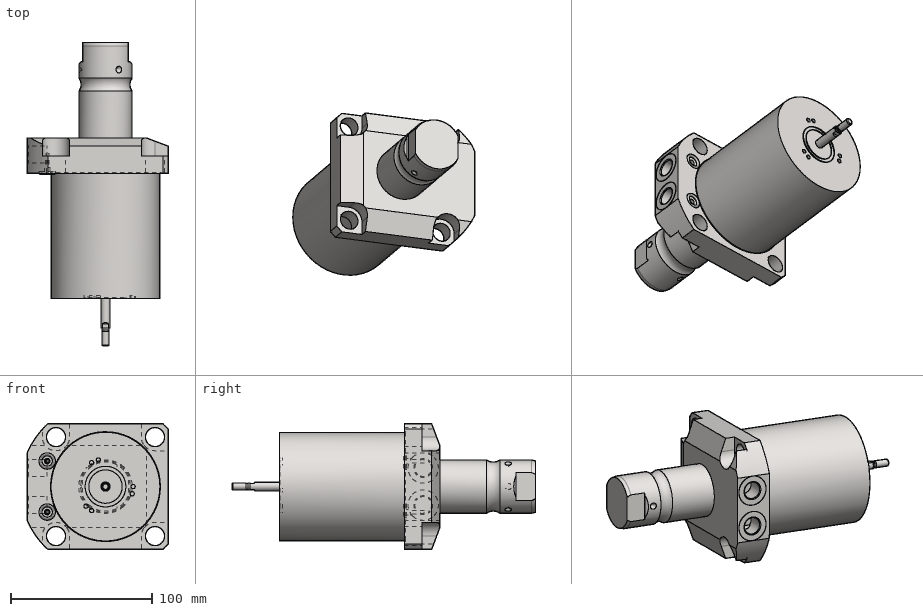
import cadquery as cq
import math


flange_right = 44.5
flange_left = 55.5
flange_half_height = 44.5
flange_thickness = 25.1
flange_corner_radius = 60.4
flange_corner_chamfer = 3.9
bevel_depth = 5.8
bevel_width = 15.5

bolt_offset = 35.0
bolt_hole_radius = 6.7
bolt_seat_radius = 9.7
bolt_seat_y = 12.5

port_z = 13.1
port_y = 13.3
port_radius = 6.0
port_chamfer = 0.6
port_depth = 14.2
spot_face_radius = 10.7
spot_face_depth = 0.2
passage_x = -41.3
passage_z = 18.0
passage_radius = 1.3
passage_end_y = 14.0
passage_mouth_radius = 2.0
passage_mouth_depth = 4.3

ring_radius = 4.7
ring_section_radius = 1.0
ring_projection = 0.6
ring_seat_radius = ring_radius + ring_section_radius
ring_centre_y = ring_section_radius - ring_projection
ring_seat_depth = ring_centre_y + ring_section_radius

motor_radius = 38.5
motor_length = 88.5
base_groove_radius = 39.0
base_groove_depth = 0.6
face_groove_outer_radius = 14.5
face_groove_inner_radius = 11.8
face_groove_depth = 0.6
face_hole_circle_radius = 19.5
face_hole_radius = 1.5
face_hole_depth = 2.1
face_hole_pairs = 3
face_hole_pair_angle = 15.0

overall_length = 215.0
spigot_end_y = 92.8
shaft_end_y = spigot_end_y - overall_length
shaft_radius = 3.2
shaft_shoulder_y = -109.4
tip_radius = 2.5
tip_chamfer = 0.6
tip_groove_y = -112.0
tip_groove_width = 1.3
tip_groove_depth = 0.2
flat_half_thickness = 2.4
flat_length = 3.0

spigot_radius = 19.0
spigot_groove_start_y = 58.2
spigot_groove_end_y = 67.5
spigot_groove_depth = 1.5
spigot_end_bevel = 2.8
spigot_end_inset = 0.6
spigot_flat_x = 16.1
spigot_flat_start_y = 79.0
spigot_flat_step = 1.0
dimple_y = 73.5
dimple_radius = 2.4
dimple_angles = (60.0, 180.0, 300.0)


def cylinder(x, z, radius, start_y, end_y):
    """Cylinder along Y, between two Y positions."""
    return cq.Workplane("XZ", origin=(x, start_y, z)).circle(radius).extrude(start_y - end_y)


def box(x_range, y_range, z_range):
    """Box between two limits along each axis."""
    low, high = zip(x_range, y_range, z_range)
    size = [b - a for a, b in zip(low, high)]
    return cq.Workplane("XY").box(*size, centered=False).translate(low)


def flange_plate():
    corner_z = math.sqrt(flange_corner_radius**2 - flange_left**2)
    corner_x = math.sqrt(flange_corner_radius**2 - flange_half_height**2)
    middle = flange_corner_radius * math.sqrt(0.5)
    chamfer_x = flange_right - flange_corner_chamfer
    chamfer_z = flange_half_height - flange_corner_chamfer
    plate = (
        cq.Workplane("XZ")
        .moveTo(-flange_left, -corner_z)
        .lineTo(-flange_left, corner_z)
        .threePointArc((-middle, middle), (-corner_x, flange_half_height))
        .lineTo(chamfer_x, flange_half_height)
        .lineTo(flange_right, chamfer_z)
        .lineTo(flange_right, -chamfer_z)
        .lineTo(chamfer_x, -flange_half_height)
        .lineTo(-corner_x, -flange_half_height)
        .threePointArc((-middle, -middle), (-flange_left, -corner_z))
        .close()
        .extrude(-flange_thickness)
    )
    for edge_distance, turn in ((flange_half_height, -90), (flange_half_height, 90), (flange_right, 0)):
        plate = plate.cut(rear_bevel(edge_distance, turn))
    return plate


def rear_bevel(edge_distance, turn):
    """Wedge that bevels the rear of the side facing +X, then turned about Y."""
    wedge = (
        cq.Workplane("XY")
        .moveTo(edge_distance, flange_thickness)
        .lineTo(edge_distance - bevel_width, flange_thickness)
        .lineTo(edge_distance, flange_thickness - bevel_depth)
        .close()
        .extrude(2 * flange_left, both=True)
    )
    return wedge.rotate((0, 0, 0), (0, 1, 0), turn)


def bolt_seat(x, side):
    """Seat open to the side in Z; seats at the right are open to +X as well."""
    z = side * bolt_offset
    depth = (bolt_seat_y, flange_thickness)
    seat = cylinder(x, z, bolt_seat_radius, *depth)
    z_limits = sorted((z, side * 2 * flange_half_height))
    seat = seat.union(box((x - bolt_seat_radius, x + bolt_seat_radius), depth, z_limits))
    if x > 0:
        z_limits = sorted((z - side * bolt_seat_radius, side * 2 * flange_half_height))
        seat = seat.union(box((x, 2 * flange_right), depth, z_limits))
    return seat


def flange():
    body = flange_plate()
    for x in (-bolt_offset, bolt_offset):
        for side in (-1, 1):
            body = body.cut(cylinder(x, side * bolt_offset, bolt_hole_radius, 0, flange_thickness))
            body = body.cut(bolt_seat(x, side))
    return body


def port_cut(side):
    """Port with spot face in the left side, joined to an O-ring seat by a passage."""
    mouth = cq.Workplane("YZ", origin=(-flange_left, port_y, side * port_z))
    port = mouth.circle(spot_face_radius).extrude(spot_face_depth)
    port = port.union(mouth.circle(port_radius).extrude(port_depth))
    chamfer = (
        mouth.workplane(offset=spot_face_depth)
        .circle(port_radius + port_chamfer)
        .workplane(offset=port_chamfer)
        .circle(port_radius)
        .loft()
    )
    z = side * passage_z
    return (
        port.union(chamfer)
        .union(cylinder(passage_x, z, ring_seat_radius, 0, ring_seat_depth))
        .union(cylinder(passage_x, z, passage_mouth_radius, 0, passage_mouth_depth))
        .union(cylinder(passage_x, z, passage_radius, 0, passage_end_y))
    )


def motor():
    body = cylinder(0, 0, motor_radius, 0, -motor_length)
    groove_floor = face_groove_depth - motor_length
    groove = cylinder(0, 0, face_groove_outer_radius, -motor_length, groove_floor)
    core = cylinder(0, 0, face_groove_inner_radius, -motor_length, groove_floor)
    body = body.cut(groove.cut(core))
    for pair in range(face_hole_pairs):
        first = pair * 360 / face_hole_pairs
        for angle in (first, first - face_hole_pair_angle):
            x = face_hole_circle_radius * math.cos(math.radians(angle))
            z = face_hole_circle_radius * math.sin(math.radians(angle))
            hole = cylinder(x, z, face_hole_radius, -motor_length, face_hole_depth - motor_length)
            body = body.cut(hole)
    return body


def shaft():
    groove_radius = tip_radius - tip_groove_depth
    groove_end_y = tip_groove_y + tip_groove_width
    body = (
        cq.Workplane("XY")
        .moveTo(0, shaft_end_y)
        .lineTo(tip_radius - tip_chamfer, shaft_end_y)
        .lineTo(tip_radius, shaft_end_y + tip_chamfer)
        .lineTo(tip_radius, tip_groove_y)
        .lineTo(groove_radius, tip_groove_y)
        .lineTo(groove_radius, groove_end_y)
        .lineTo(tip_radius, groove_end_y)
        .lineTo(tip_radius, shaft_shoulder_y)
        .lineTo(shaft_radius, shaft_shoulder_y)
        .lineTo(shaft_radius, -motor_length)
        .lineTo(0, -motor_length)
        .close()
        .revolve(360, (0, 0, 0), (0, 1, 0))
    )
    flat_y = shaft_shoulder_y + flat_length
    ramp = shaft_radius - flat_half_thickness
    flat_cut = (
        cq.Workplane("YZ")
        .moveTo(shaft_shoulder_y, flat_half_thickness)
        .lineTo(flat_y, flat_half_thickness)
        .lineTo(flat_y + ramp, shaft_radius)
        .lineTo(shaft_shoulder_y, shaft_radius)
        .close()
        .extrude(shaft_radius, both=True)
    )
    return body.cut(flat_cut).cut(flat_cut.mirror("XY"))


def spigot():
    groove_middle_y = (spigot_groove_start_y + spigot_groove_end_y) / 2
    body = (
        cq.Workplane("XY")
        .moveTo(0, flange_thickness)
        .lineTo(spigot_radius, flange_thickness)
        .lineTo(spigot_radius, spigot_groove_start_y)
        .threePointArc(
            (spigot_radius - spigot_groove_depth, groove_middle_y),
            (spigot_radius, spigot_groove_end_y),
        )
        .lineTo(spigot_radius, spigot_end_y - spigot_end_bevel)
        .lineTo(spigot_radius - spigot_end_inset, spigot_end_y)
        .lineTo(0, spigot_end_y)
        .close()
        .revolve(360, (0, 0, 0), (0, 1, 0))
    )
    step_x = spigot_flat_x + spigot_flat_step
    flat_cut = (
        cq.Workplane("XY")
        .moveTo(spigot_flat_x, spigot_end_y)
        .lineTo(spigot_flat_x, spigot_flat_start_y)
        .lineTo(step_x, spigot_flat_start_y)
        .lineTo(spigot_radius, spigot_flat_start_y - (spigot_radius - step_x))
        .lineTo(spigot_radius, spigot_end_y)
        .close()
        .extrude(spigot_radius, both=True)
    )
    body = body.cut(flat_cut).cut(flat_cut.mirror("YZ"))
    for angle in dimple_angles:
        body = body.cut(dimple(angle))
    return body


def dimple(angle):
    """Conical dimple cut radially into the spigot."""
    outward = cq.Vector(math.cos(math.radians(angle)), 0, math.sin(math.radians(angle)))
    rim = outward * spigot_radius + cq.Vector(0, dimple_y, 0)
    return cq.Workplane(cq.Solid.makeCone(dimple_radius, 0, dimple_radius, rim, outward * -1))


def make_housing():
    base_groove = cylinder(0, 0, base_groove_radius, 0, base_groove_depth)
    base_core = cylinder(0, 0, motor_radius, 0, base_groove_depth)
    housing = flange().cut(base_groove.cut(base_core)).union(motor()).union(shaft()).union(spigot())
    for side in (-1, 1):
        housing = housing.cut(port_cut(side))
    return housing


def make_o_ring(side):
    """O-ring whose section is two half circles that meet at its front and back."""
    front_y = ring_centre_y - ring_section_radius
    back_y = ring_centre_y + ring_section_radius
    ring = (
        cq.Workplane("XY")
        .moveTo(ring_radius, front_y)
        .threePointArc((ring_radius + ring_section_radius, ring_centre_y), (ring_radius, back_y))
        .threePointArc((ring_radius - ring_section_radius, ring_centre_y), (ring_radius, front_y))
        .close()
        .revolve(360, (0, 0, 0), (0, 1, 0), clean=False)
    )
    return ring.translate((passage_x, 0, side * passage_z))


housing = make_housing()
o_rings = [make_o_ring(side) for side in (-1, 1)]

result = cq.Compound.makeCompound([housing.val(), *[ring.val() for ring in o_rings]])